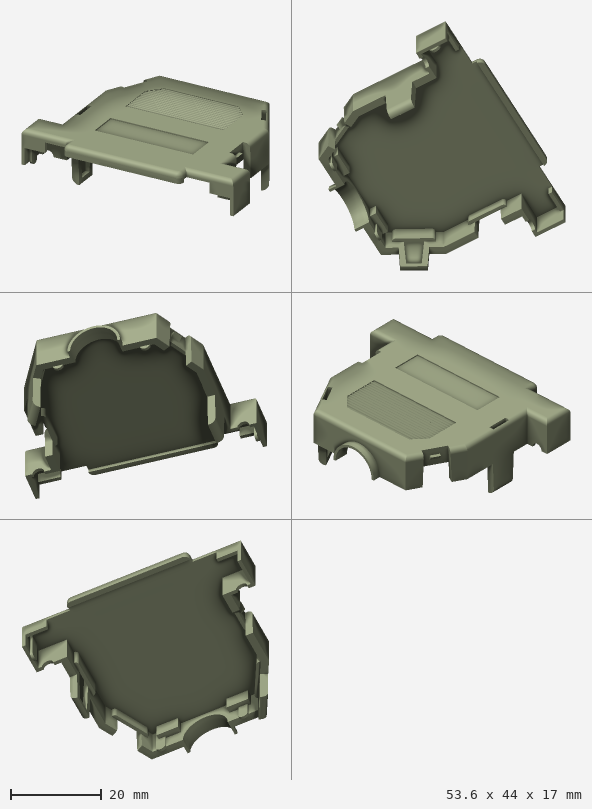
import cadquery as cq
import math


height = 8.6
wall = 1.75
flange_wall = 0.85
ceiling_z = height - wall
edge_radius = 1.25

flange_half_x = 26.8
flange_y = 7.55
body_half_x = 20.8
shoulder_y = 26.9
back_half_x = 13.95
back_y = 39.5
inner_half_x = body_half_x - wall
flange_inner_half_x = flange_half_x - flange_wall
side_step_z = 4.25

lip_half_x = 15.0
lip_reach = 2.55
lip_thick = 1.3
lip_bottom_z = 6.0
lip_corner_radius = 1.35

cable_radius = 5.45
collar_radius = 6.1
collar_end_y = 41.4

notch_x = 23.75
notch_radius = 1.35

leg_drop = 8.45
leg_width_top = 6.75
leg_width_tip = 6.0
leg_tip_radius = 1.7
slot_width_top = 5.15
slot_width_floor = 3.45
slot_floor_z = -7.2
slot_depth = 1.05
pocket_width_top = 6.15
pocket_width_bottom = 6.75
straight_side_y = 15.25
slope_shift = 0.15
pad_length = 9.75
pad_thick = 0.85
slot_pad_bottom_z = 2.55
catch_width = 2.35
catch_reach = 0.95
catch_bottom_z = 5.75
catch_top_z = 6.85

panel_half_x = 12.45
recess_depth = 0.3
label_y0 = 7.5
label_y1 = 14.75
grip_y0 = 21.5
grip_y1 = 33.55
grip_corner_y = 30.3
grip_top_half_x = 9.4
ridge_count = 15
ridge_rise = 0.15
ridge_fall = 0.25
first_ridge_y = 33.2
last_ridge_y = 22.4
ridge_pitch = (first_ridge_y - last_ridge_y) / (ridge_count - 1)

tongue_width = 2.3
tongue_thick = 0.65
tongue_drop = 0.85
back_tongue_xs = (-10.7, 9.45)
back_tongue_y = 37.3
side_tongue_y = 3.4
block_inner_x = 5.9
block_outer_x = 11.2
block_bottom_z = 3.4
block_y = 36.2


def box(x0, x1, y0, y1, z0, z1):
    return cq.Workplane("XY").box(x1 - x0, y1 - y0, z1 - z0, centered=False).translate((x0, y0, z0))


def mirrored_outline(right_half):
    left_half = [(-x, y) for x, y in reversed(right_half)]
    return cq.Workplane("XY").polyline(right_half + left_half).close()


def side_plane(x, y, angle):
    """Upright plane: local X along the face, local Y up, normal at `angle` from +X."""
    normal = (math.cos(angle), math.sin(angle), 0)
    along = (-math.sin(angle), math.cos(angle), 0)
    return cq.Workplane(cq.Plane(origin=(x, y, 0), xDir=along, normal=normal))


def tapered(plane, offset, depth, z_low, width_low, z_high, width_high):
    """Symmetric trapezoid prism that starts `offset` inside the side face and goes `depth` inward."""
    low, high = width_low / 2, width_high / 2
    profile = [(-low, z_low), (low, z_low), (high, z_high), (-high, z_high)]
    return plane.workplane(offset=-offset).polyline(profile).close().extrude(-depth)


def inner_pad(plane, bottom_z):
    """Pad on the inner wall face with rounded ends."""
    pad = tapered(plane, wall, pad_thick, bottom_z, pad_length, ceiling_z, pad_length)
    core_length = pad_length - 2 * pad_thick
    rounded = tapered(plane, wall, pad_thick, bottom_z, core_length, ceiling_z, core_length)
    for side in (-1, 1):
        round_end = (
            plane.transformed(rotate=(-90, 0, 0), offset=(side * core_length / 2, bottom_z, -wall))
            .circle(pad_thick)
            .extrude(ceiling_z - bottom_z)
        )
        rounded = rounded.union(round_end.intersect(pad))
    return rounded


def tongue(plane):
    """Thin alignment plate with a domed lower end, from the plane toward its back."""
    half = tongue_width / 2
    return (
        plane.moveTo(-half, ceiling_z)
        .lineTo(-half, 0)
        .threePointArc((0, -tongue_drop), (half, 0))
        .lineTo(half, ceiling_z)
        .close()
        .extrude(-tongue_thick)
    )


outer = mirrored_outline([
    (flange_half_x, 0),
    (flange_half_x, flange_y),
    (body_half_x, flange_y),
    (body_half_x, shoulder_y),
    (back_half_x, back_y),
]).extrude(height)
lip = (
    box(-lip_half_x, lip_half_x, -lip_reach, wall, lip_bottom_z, height)
    .edges("|Z and <Y").fillet(lip_corner_radius)
)
shell = outer.union(lip).faces(">Z").edges().fillet(edge_radius)
shell = shell.cut(box(-lip_half_x, lip_half_x, -lip_reach + lip_thick, 0, 0, ceiling_z))

slope_angle = math.atan2(body_half_x - back_half_x, back_y - shoulder_y)
inner_shoulder_y = shoulder_y - wall * math.tan(slope_angle / 2)
inner_back_y = back_y - wall
inner_back_half_x = inner_half_x - (inner_back_y - inner_shoulder_y) * math.tan(slope_angle)
cavity = mirrored_outline([
    (flange_inner_half_x, flange_wall),
    (flange_inner_half_x, flange_y - flange_wall),
    (inner_half_x, flange_y - flange_wall),
    (inner_half_x, inner_shoulder_y),
    (inner_back_half_x, inner_back_y),
]).extrude(ceiling_z)
shell = shell.cut(cavity)

shell = shell.cut(box(-flange_inner_half_x, flange_inner_half_x, 0, flange_wall, 0, side_step_z))
shell = shell.cut(box(-body_half_x, body_half_x, 0, flange_wall, 0, ceiling_z))

rear_plane = cq.Workplane("XZ", origin=(0, inner_back_y, 0))
collar_length = collar_end_y - inner_back_y
collar = rear_plane.circle(collar_radius).extrude(-collar_length)
collar = collar.intersect(box(-collar_radius, collar_radius, inner_back_y, collar_end_y, 0, height))
cable_hole = rear_plane.circle(cable_radius).extrude(-collar_length)
shell = shell.union(collar).cut(cable_hole)

for side in (-1, 1):
    screw_notch = (
        cq.Workplane("XZ", origin=(side * notch_x, flange_wall, 0))
        .circle(notch_radius)
        .extrude(-flange_y)
    )
    shell = shell.cut(screw_notch)

slope_x = (body_half_x + back_half_x) / 2 + slope_shift * math.sin(slope_angle)
slope_y = (shoulder_y + back_y) / 2 - slope_shift * math.cos(slope_angle)
leg_sides = (
    side_plane(-body_half_x, straight_side_y, math.pi),
    side_plane(slope_x, slope_y, slope_angle),
)
pocket_sides = (
    side_plane(body_half_x, straight_side_y, 0),
    side_plane(-slope_x, slope_y, math.pi - slope_angle),
)


def add_leg(body, plane):
    """Tapered leg with a rounded outer tip and a long slot open to the top face."""
    leg = tapered(plane, 0, wall, -leg_drop, leg_width_tip, 0, leg_width_top)
    outer_tip = cq.selectors.DirectionMinMaxSelector(plane.plane.zDir)
    leg = leg.faces("<Z").edges(outer_tip).fillet(leg_tip_radius)
    slot = tapered(plane, wall - slot_depth, slot_depth, slot_floor_z, slot_width_floor,
                   height, slot_width_top)
    return body.union(leg).cut(slot).union(inner_pad(plane, slot_pad_bottom_z))


def add_pocket(body, plane):
    """Wall opening for the mating leg, closed from inside above the step and fitted with a wedge catch."""
    opening = tapered(plane, 0, wall, 0, pocket_width_bottom, height, pocket_width_top)
    catch = (
        plane.transformed(rotate=(0, -90, 0))
        .polyline([(-wall, catch_bottom_z), (-wall, catch_top_z), (catch_reach - wall, catch_top_z)])
        .close()
        .extrude(catch_width / 2, both=True)
    )
    return body.cut(opening).union(inner_pad(plane, side_step_z)).union(catch)


for plane in leg_sides:
    shell = add_leg(shell, plane)
for plane in pocket_sides:
    shell = add_pocket(shell, plane)

for x in back_tongue_xs:
    shell = shell.union(tongue(side_plane(x, back_tongue_y, -math.pi / 2)))
shell = shell.union(tongue(side_plane(-flange_inner_half_x, side_tongue_y, math.pi)))

for x0 in (-block_outer_x, block_inner_x):
    x1 = x0 + block_outer_x - block_inner_x
    shell = shell.union(box(x0, x1, block_y, inner_back_y, block_bottom_z, ceiling_z))

recess_z = height - recess_depth
shell = shell.cut(box(-panel_half_x, panel_half_x, label_y0, label_y1, recess_z, height))

grip_panel = mirrored_outline([
    (panel_half_x, grip_y0),
    (panel_half_x, grip_corner_y),
    (grip_top_half_x, grip_y1),
]).extrude(recess_depth).translate((0, 0, recess_z))
grip_recess = grip_panel
for i in range(ridge_count):
    ridge_y = first_ridge_y - i * ridge_pitch
    ridge = (
        cq.Workplane("YZ")
        .polyline([(ridge_y - ridge_fall, recess_z), (ridge_y, height), (ridge_y + ridge_rise, recess_z)])
        .close()
        .extrude(panel_half_x, both=True)
    )
    grip_recess = grip_recess.cut(ridge)
shell = shell.cut(grip_recess)

result = shell